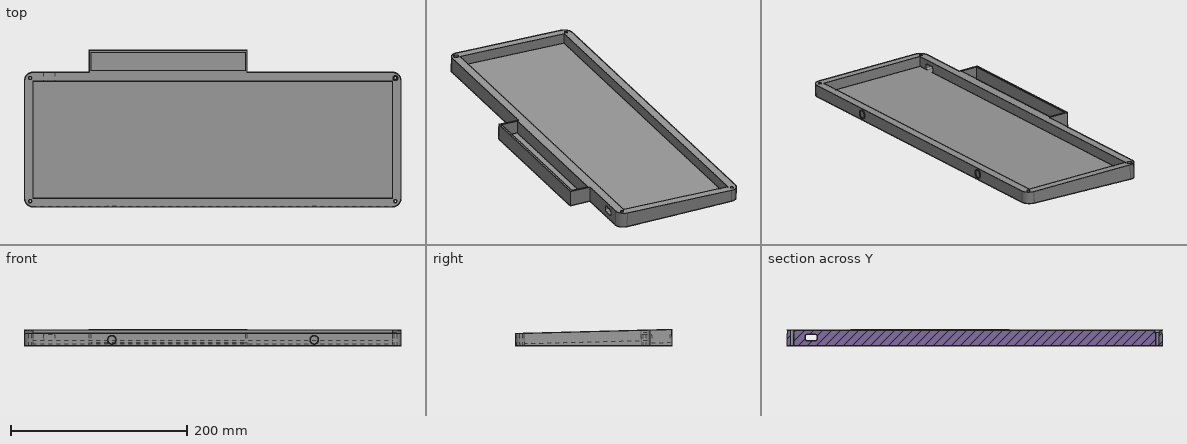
import cadquery as cq


CASE_WIDTH = 428.0
CASE_DEPTH = 153.0
CORNER_RADIUS = 10.0
TILT = 1.5
REAR_HEIGHT = 18.65

SIDE_WALL = 9.5
END_WALL = 10.0
TRAY_FLOOR_DEPTH = 12.0

BOX_LEFT = 73.4
BOX_WIDTH = 179.6
BOX_DEPTH = 24.98
BOX_WALL = 2.0
BOX_REAR_WALL = 2.5
BOX_FLOOR_DEPTH = 15.0

SCREW_DIAMETER = 3.4
SCREW_INSET = 6.5
HEAD_DIAMETER = 5.8
HEAD_DEPTH = 3.0

RING_OUTER_DIAMETER = 10.1
RING_INNER_DIAMETER = 9.09
RING_GROOVE_DEPTH = 1.0
RING_COUNT = 2
RING_FIRST_X = 99.3
RING_SPACING = 230.0
RING_BELOW_TOP = 7.3

PASSAGE_CENTER_X = 28.2
PASSAGE_WIDTH = 13.5
PASSAGE_HEIGHT = 7.0
PASSAGE_CORNER_RADIUS = 2.0

BLANK_HEIGHT = 2 * REAR_HEIGHT
TOTAL_DEPTH = CASE_DEPTH + BOX_DEPTH


def block(left, front, width, depth, height):
    """Box hanging down from the top face."""
    return cq.Workplane("XY").box(width, depth, height, centered=False).translate((left, front, -height))


def outer_body():
    case = block(0, 0, CASE_WIDTH, CASE_DEPTH, BLANK_HEIGHT).edges("|Z").fillet(CORNER_RADIUS)
    return case.union(block(BOX_LEFT, CASE_DEPTH, BOX_WIDTH, BOX_DEPTH, BLANK_HEIGHT))


def tray_pocket():
    return block(SIDE_WALL, END_WALL, CASE_WIDTH - 2 * SIDE_WALL, CASE_DEPTH - 2 * END_WALL, TRAY_FLOOR_DEPTH)


def box_pocket():
    return block(
        BOX_LEFT + BOX_WALL,
        CASE_DEPTH + BOX_WALL,
        BOX_WIDTH - 2 * BOX_WALL,
        BOX_DEPTH - BOX_WALL - BOX_REAR_WALL,
        BOX_FLOOR_DEPTH,
    )


def screw_holes():
    right = CASE_WIDTH - SCREW_INSET
    rear = CASE_DEPTH - SCREW_INSET
    corners = [(SCREW_INSET, SCREW_INSET), (right, SCREW_INSET), (SCREW_INSET, rear), (right, rear)]
    holes = cq.Workplane("XY").pushPoints(corners).circle(SCREW_DIAMETER / 2).extrude(-BLANK_HEIGHT)
    head = cq.Workplane("XY").center(right, rear).circle(HEAD_DIAMETER / 2).extrude(-HEAD_DEPTH)
    return holes.union(head)


def ring_grooves():
    centers = [(RING_FIRST_X + i * RING_SPACING, -RING_BELOW_TOP) for i in range(RING_COUNT)]
    return (
        cq.Workplane("XZ")
        .pushPoints(centers)
        .circle(RING_OUTER_DIAMETER / 2)
        .circle(RING_INNER_DIAMETER / 2)
        .extrude(-RING_GROOVE_DEPTH)
    )


def cable_passage():
    passage = block(
        PASSAGE_CENTER_X - PASSAGE_WIDTH / 2,
        CASE_DEPTH - END_WALL,
        PASSAGE_WIDTH,
        END_WALL,
        PASSAGE_HEIGHT,
    )
    passage = passage.edges("|Y").fillet(PASSAGE_CORNER_RADIUS)
    return passage.translate((0, 0, PASSAGE_HEIGHT - TRAY_FLOOR_DEPTH))


def lean_back(body):
    """Tilt about the rear top edge, lift to height and cut the underside level."""
    tilted = body.rotate((0, TOTAL_DEPTH, 0), (1, TOTAL_DEPTH, 0), TILT).translate((0, 0, REAR_HEIGHT))
    below = (
        cq.Workplane("XY")
        .box(2 * CASE_WIDTH, 2 * TOTAL_DEPTH, BLANK_HEIGHT, centered=(True, True, False))
        .translate((CASE_WIDTH / 2, TOTAL_DEPTH / 2, -BLANK_HEIGHT))
    )
    return tilted.cut(below)


body = outer_body()
for cutter in (tray_pocket(), box_pocket(), screw_holes(), ring_grooves(), cable_passage()):
    body = body.cut(cutter)
result = lean_back(body)